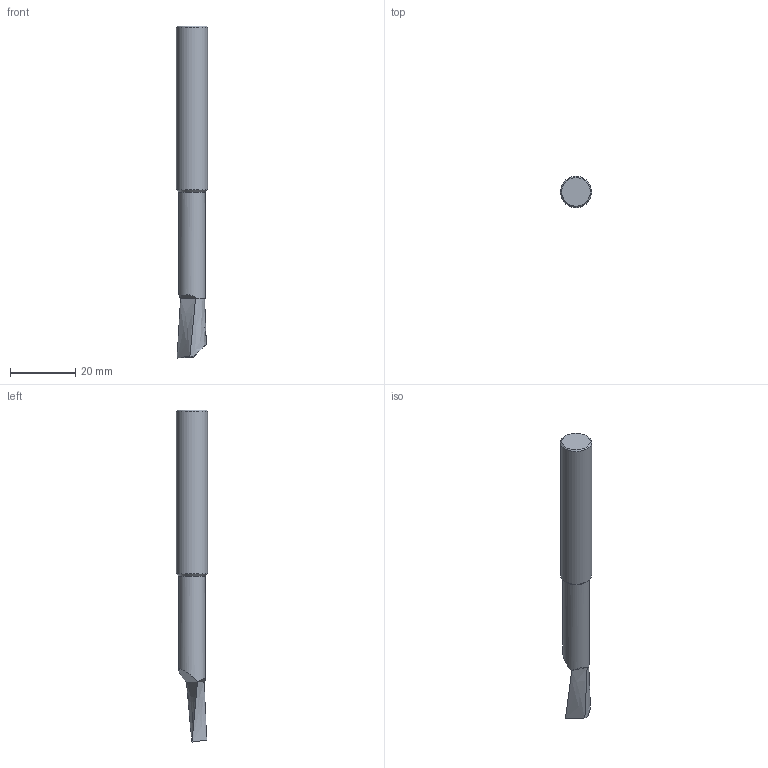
import cadquery as cq
import math

total_length = 101.6
shank_length = 50.8
shank_diameter = 9.53
shank_top_chamfer = 0.4
neck_diameter = 8.13

blade_length = 18.3
blade_top_radius = 3.87
blade_tip_radius = 4.57
cutting_edge_angle = 180.0
blade_twist = 25.5
relief_flat_angle = 81.0
blade_sections = 5

corner_chamfer = 4.2
end_edge_slope = 0.06
end_relief_slope = 0.07

cut_size = 4 * shank_diameter


def polar(radius, angle):
    """Point at a radius and an angle in degrees."""
    return (radius * math.cos(math.radians(angle)), radius * math.sin(math.radians(angle)))


def make_shank():
    """Round shank, chamfered at the top and down to the neck diameter below."""
    shoulder_chamfer = (shank_diameter - neck_diameter) / 2
    shank = cq.Workplane("XY").workplane(offset=total_length - shank_length)
    shank = shank.circle(shank_diameter / 2).extrude(shank_length)
    shank = shank.faces(">Z").chamfer(shank_top_chamfer)
    return shank.faces("<Z").chamfer(shoulder_chamfer)


def bevel_cutter(normal_angle, flat_distance):
    """Wedge rising at 45 degrees outward from a blade flat at the neck's lower end."""
    normal = cq.Vector(*polar(1, normal_angle), 0)
    sideways = normal.cross(cq.Vector(0, 0, 1))
    plane = cq.Plane(origin=(0, 0, blade_length), xDir=normal, normal=sideways)
    wedge = cq.Workplane(plane).moveTo(flat_distance, 0)
    wedge = wedge.lineTo(flat_distance + cut_size, 0).lineTo(flat_distance + cut_size, cut_size).close()
    return wedge.extrude(cut_size / 2, both=True)


def make_neck():
    """Reduced neck, bevelled into the rake flat and the relief flat of the blade."""
    neck_length = total_length - shank_length - blade_length
    neck = cq.Workplane("XY").workplane(offset=blade_length)
    neck = neck.circle(neck_diameter / 2).extrude(neck_length)
    edge_angle = cutting_edge_angle + blade_twist
    relief_distance = blade_top_radius * math.cos(math.radians(relief_flat_angle / 2))
    neck = neck.cut(bevel_cutter(edge_angle - 90, 0))
    return neck.cut(bevel_cutter(edge_angle + relief_flat_angle / 2, relief_distance))


def blade_wire(height):
    """Half-round blade section with one relief flat, turned and scaled for its height."""
    fraction = height / blade_length
    radius = blade_tip_radius + (blade_top_radius - blade_tip_radius) * fraction
    edge_angle = cutting_edge_angle + blade_twist * fraction
    heel_angle = edge_angle + relief_flat_angle
    back_angle = edge_angle + 180
    section = cq.Workplane("XY").workplane(offset=height).moveTo(*polar(radius, edge_angle))
    section = section.lineTo(*polar(radius, heel_angle))
    section = section.threePointArc(
        polar(radius, (heel_angle + back_angle) / 2), polar(radius, back_angle)
    )
    return section.close().val()


def make_blade():
    """Blade lofted smoothly through evenly spaced turned sections."""
    step = blade_length / (blade_sections - 1)
    wires = [blade_wire(step * index) for index in range(blade_sections)]
    return cq.Workplane(cq.Solid.makeLoft(wires))


def end_face_cutter():
    """Block below the sloping end face that starts at the cutting point."""
    face_normal = cq.Vector(end_edge_slope, -end_relief_slope, -1)
    plane = cq.Plane(origin=(-blade_tip_radius, 0, 0), xDir=(1, 0, end_edge_slope), normal=face_normal)
    return cq.Workplane(plane).rect(cut_size, cut_size).extrude(cut_size)


def corner_cutter():
    """Block outside the 45 degree chamfer on the corner opposite the cutting point."""
    chamfer_start = blade_tip_radius - corner_chamfer
    start_height = end_edge_slope * (blade_tip_radius + chamfer_start)
    plane = cq.Plane(origin=(chamfer_start, 0, start_height), xDir=(1, 0, 1), normal=(1, 0, -1))
    return cq.Workplane(plane).rect(cut_size, cut_size).extrude(cut_size)


blade = make_blade().cut(end_face_cutter()).cut(corner_cutter())
result = make_shank().union(make_neck()).union(blade)